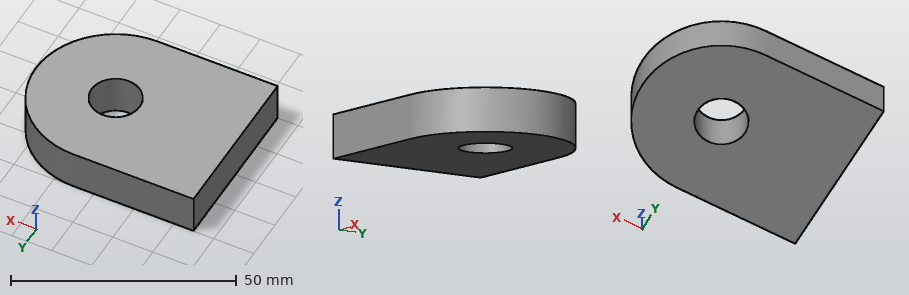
import cadquery as cq

length = 50
width = 40
thickness = 10
hole_diameter = 12

end_radius = width / 2
straight_length = length - end_radius

plate = (
    cq.Workplane("XY")
    .moveTo(0, -end_radius)
    .lineTo(straight_length, -end_radius)
    .threePointArc((length, 0), (straight_length, end_radius))
    .lineTo(0, end_radius)
    .close()
    .extrude(thickness)
)

hole = (
    cq.Workplane("XY")
    .center(straight_length, 0)
    .circle(hole_diameter / 2)
    .extrude(thickness)
)

result = plate.cut(hole)